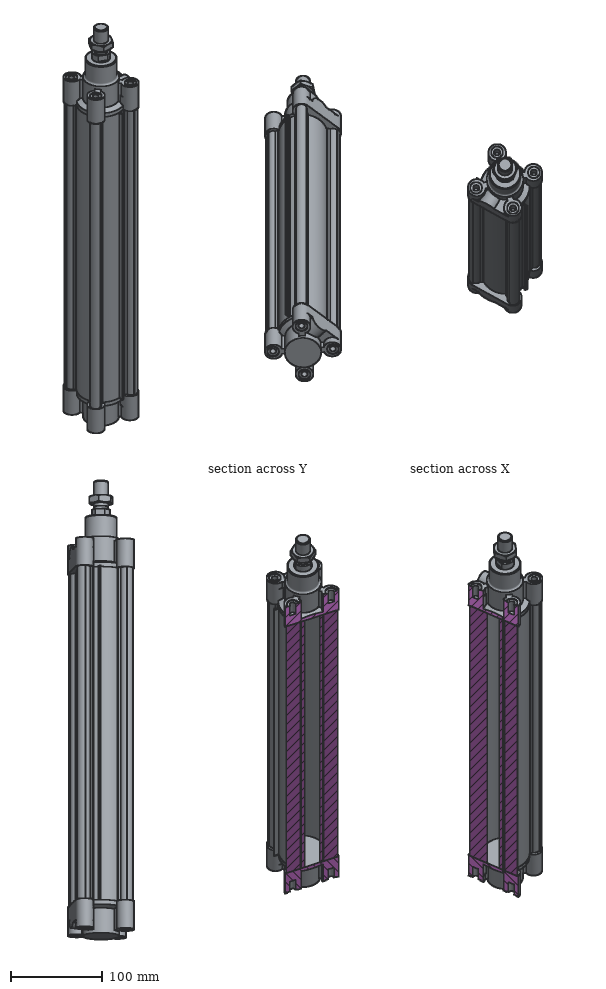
import cadquery as cq
import math


TOTAL_LENGTH = 509.0
STUD_LENGTH = 32.0
ROD_EXTENSION = 37.0
CAP_LENGTH = 31.5
SPIGOT_LENGTH = 4.0
REAR_FACE_Z = SPIGOT_LENGTH
FRONT_FACE_Z = TOTAL_LENGTH - STUD_LENGTH - ROD_EXTENSION
TUBE_BOTTOM_Z = REAR_FACE_Z + CAP_LENGTH
TUBE_TOP_Z = FRONT_FACE_Z - CAP_LENGTH
SHOULDER_Z = TOTAL_LENGTH - STUD_LENGTH

CAP_WIDTH = 65.0
BOLT_SPACING = 46.5
BOLT_OFFSET = BOLT_SPACING / 2
CORNER_DIA = 19.5
CORNER_OFFSET = (CAP_WIDTH - CORNER_DIA) / 2
CORNER_INNER = CORNER_OFFSET - CORNER_DIA / 2
CORNER_WEB_WIDTH = 7.0
NECK_DIA = 40.0
PLATE_DIA = 54.0
PLATE_LENGTH = 5.0
PLATE_CONE_LENGTH = 2.7
SCREW_RECESS_DIA = 13.0
SCREW_RECESS_DEPTH = 1.0
SCREW_THREAD_DIA = 6.75
SCREW_THREAD_DEPTH = 16.0

PORT_BOSS_DIA = 22.0
PORT_X = 4.0
PORT_DEPTH = 15.5
PORT_PLATE_RISE = 6.5

BEARING_DIA = 35.0
BEARING_TOP_Z = SHOULDER_Z - 8.3
BEARING_CHAMFER = 1.0
BEARING_FILLET = (NECK_DIA - BEARING_DIA) / 2

BORE_DIA = 50.0
TUBE_BODY_DIA = 54.0
COLUMN_DIA = 13.0
COLUMN_CREST_DIA = 16.0
WEB_ROOT = (14.5, 24.3)
WEB_END = (17.1, 25.4)
RAIL_LOW_Y = 6.3
RAIL_THICKNESS = 1.4
RAIL_TIP_X = 32.0
RAIL_HOOK_X = (29.2, 30.4)
RAIL_HOOK_HEIGHT = 1.2
SLOT_WALL_Y = 13.0
SLOT_WALL_X = WEB_ROOT[1]

ROD_DIA = 20.0
STUD_DIA = 16.0
STUD_CHAMFER = 1.25
UNDERCUT_DIA = 14.5
UNDERCUT_LENGTH = 3.5
ROD_FLATS_WIDTH = 17.0
ROD_FLATS_LENGTH = 7.0
ROD_FLATS_ANGLE = -20.0
NUT_WIDTH = 24.0
NUT_HEIGHT = 8.0
NUT_TOP_Z = TOTAL_LENGTH - 17.0
NUT_ANGLE = -22.0
NUT_CHAMFER_ANGLE = 30.0

QUADRANTS = [(1, 1), (-1, 1), (-1, -1), (1, -1)]


def disc(diameter, bottom, top, x=0.0, y=0.0):
    return cq.Workplane("XY", origin=(x, y, bottom)).circle(diameter / 2).extrude(top - bottom)


def block(x_range, y_range, z_range):
    (x0, x1), (y0, y1), (z0, z1) = x_range, y_range, z_range
    return cq.Workplane("XY").box(x1 - x0, y1 - y0, z1 - z0, centered=False).translate((x0, y0, z0))


def corner_column():
    """Corner column in the +X +Y quadrant with its radial web."""
    column = disc(CORNER_DIA, -CAP_LENGTH, 0, CORNER_OFFSET, CORNER_OFFSET)
    web_length = math.hypot(CORNER_OFFSET, CORNER_OFFSET)
    half_width = CORNER_WEB_WIDTH / 2
    web = block((0, web_length), (-half_width, half_width), (-CAP_LENGTH, 0))
    return column.union(web.rotate((0, 0, 0), (0, 0, 1), 45))


def port_boss():
    """Boss running out to the +Y face, with a flat-topped plate between the corner columns."""
    face_y = CAP_WIDTH / 2
    boss = cq.Workplane("XZ", origin=(PORT_X, 0, -PORT_DEPTH)).circle(PORT_BOSS_DIA / 2).extrude(-face_y)
    boss_left = PORT_X - math.sqrt((PORT_BOSS_DIA / 2) ** 2 - PORT_PLATE_RISE ** 2)
    plate_top = PORT_PLATE_RISE - PORT_DEPTH
    plate = block((-CORNER_OFFSET, boss_left), (CORNER_INNER, face_y), (-CAP_LENGTH, plate_top))
    foot = block((boss_left, CORNER_OFFSET), (CORNER_INNER, face_y), (-CAP_LENGTH, -PORT_DEPTH))
    return boss.union(plate).union(foot)


def make_cap():
    cone_base = PLATE_LENGTH - CAP_LENGTH
    cap = (
        cq.Workplane("XZ")
        .moveTo(0, -CAP_LENGTH)
        .lineTo(PLATE_DIA / 2, -CAP_LENGTH)
        .lineTo(PLATE_DIA / 2, cone_base)
        .lineTo(NECK_DIA / 2, cone_base + PLATE_CONE_LENGTH)
        .lineTo(NECK_DIA / 2, SPIGOT_LENGTH)
        .lineTo(0, SPIGOT_LENGTH)
        .close()
        .revolve(360, (0, 0, 0), (0, 1, 0))
    )
    quarter = corner_column()
    for turn in range(4):
        cap = cap.union(quarter.rotate((0, 0, 0), (0, 0, 1), 90 * turn))
    cap = cap.union(port_boss())
    for x_side, y_side in QUADRANTS:
        x, y = x_side * BOLT_OFFSET, y_side * BOLT_OFFSET
        cap = cap.cut(disc(SCREW_RECESS_DIA, -SCREW_RECESS_DEPTH, 0, x, y))
        cap = cap.cut(disc(SCREW_THREAD_DIA, -SCREW_THREAD_DEPTH, 0, x, y))
    return cap


def make_rear_cap():
    return make_cap().mirror("XY").translate((0, 0, REAR_FACE_Z))


def make_front_cap():
    """Cap with the rod bearing housing flared into its spigot and the rod bore through it."""
    spigot_top = FRONT_FACE_Z + SPIGOT_LENGTH
    radius = BEARING_DIA / 2
    bearing = (
        cq.Workplane("XZ")
        .moveTo(0, spigot_top)
        .lineTo(radius + BEARING_FILLET, spigot_top)
        .radiusArc((radius, spigot_top + BEARING_FILLET), BEARING_FILLET)
        .lineTo(radius, BEARING_TOP_Z - BEARING_CHAMFER)
        .lineTo(radius - BEARING_CHAMFER, BEARING_TOP_Z)
        .lineTo(0, BEARING_TOP_Z)
        .close()
        .revolve(360, (0, 0, 0), (0, 1, 0))
    )
    cap = make_cap().translate((0, 0, FRONT_FACE_Z)).union(bearing)
    return cap.cut(disc(ROD_DIA, TUBE_TOP_Z, BEARING_TOP_Z))


def tube_corner():
    """Column and web in the +X +Y quadrant."""
    crest = disc(COLUMN_CREST_DIA, TUBE_BOTTOM_Z, TUBE_TOP_Z, BOLT_OFFSET, BOLT_OFFSET)
    outward = (BOLT_OFFSET, CAP_WIDTH / 2)
    crest = crest.intersect(block(outward, outward, (TUBE_BOTTOM_Z, TUBE_TOP_Z)))
    column = disc(COLUMN_DIA, TUBE_BOTTOM_Z, TUBE_TOP_Z, BOLT_OFFSET, BOLT_OFFSET)
    web = (
        cq.Workplane("XY", origin=(0, 0, TUBE_BOTTOM_Z))
        .polyline([(0, 0), WEB_ROOT, WEB_END, WEB_END[::-1], WEB_ROOT[::-1]])
        .close()
        .extrude(TUBE_TOP_Z - TUBE_BOTTOM_Z)
    )
    return column.union(crest).union(web)


def sensor_slot():
    """Hooked rail and facing wall of the sensor slot on the +X side."""
    span = (TUBE_BOTTOM_Z, TUBE_TOP_Z)
    rail_top_y = RAIL_LOW_Y + RAIL_THICKNESS
    rail = block((0, RAIL_TIP_X), (RAIL_LOW_Y, rail_top_y), span)
    hook = block(RAIL_HOOK_X, (RAIL_LOW_Y, rail_top_y + RAIL_HOOK_HEIGHT), span)
    wall = block((0, SLOT_WALL_X), (SLOT_WALL_Y, WEB_ROOT[0]), span)
    return rail.union(hook).union(wall)


def make_tube():
    tube = disc(TUBE_BODY_DIA, TUBE_BOTTOM_Z, TUBE_TOP_Z)
    for turn in range(4):
        tube = tube.union(tube_corner().rotate((0, 0, 0), (0, 0, 1), 90 * turn))
    slot = sensor_slot()
    tube = tube.union(slot).union(slot.mirror("YZ"))
    return tube.cut(disc(BORE_DIA, TUBE_BOTTOM_Z, TUBE_TOP_Z))


def make_rod():
    rod = disc(ROD_DIA, TUBE_TOP_Z, SHOULDER_Z)
    flats = (
        cq.Workplane("XY", origin=(0, 0, SHOULDER_Z - ROD_FLATS_LENGTH))
        .rect(ROD_DIA, ROD_DIA)
        .rect(ROD_FLATS_WIDTH, ROD_DIA)
        .extrude(ROD_FLATS_LENGTH)
        .rotate((0, 0, 0), (0, 0, 1), ROD_FLATS_ANGLE)
    )
    rod = rod.cut(flats)
    rod = rod.union(disc(UNDERCUT_DIA, SHOULDER_Z, SHOULDER_Z + UNDERCUT_LENGTH))
    stud = disc(STUD_DIA, SHOULDER_Z + UNDERCUT_LENGTH, TOTAL_LENGTH).faces(">Z").chamfer(STUD_CHAMFER)
    return rod.union(stud)


def make_nut():
    """Hexagon nut with both ends of its corners turned to a cone."""
    corner_radius = NUT_WIDTH / math.sqrt(3)
    flat_radius = NUT_WIDTH / 2
    cone_height = (corner_radius - flat_radius) * math.tan(math.radians(NUT_CHAMFER_ANGLE))
    hexagon = cq.Workplane("XY").polygon(6, 2 * corner_radius).extrude(NUT_HEIGHT)
    envelope = (
        cq.Workplane("XZ")
        .polyline([
            (0, 0),
            (flat_radius, 0),
            (corner_radius, cone_height),
            (corner_radius, NUT_HEIGHT - cone_height),
            (flat_radius, NUT_HEIGHT),
            (0, NUT_HEIGHT),
        ])
        .close()
        .revolve(360, (0, 0, 0), (0, 1, 0))
    )
    nut = hexagon.intersect(envelope).cut(disc(STUD_DIA, 0, NUT_HEIGHT))
    return nut.rotate((0, 0, 0), (0, 0, 1), NUT_ANGLE).translate((0, 0, NUT_TOP_Z - NUT_HEIGHT))


front_cap = make_front_cap()
rear_cap = make_rear_cap()
tube = make_tube()
rod = make_rod()
lock_nut = make_nut()

result = cq.Compound.makeCompound([
    front_cap.val(),
    rear_cap.val(),
    tube.val(),
    rod.val(),
    lock_nut.val(),
])